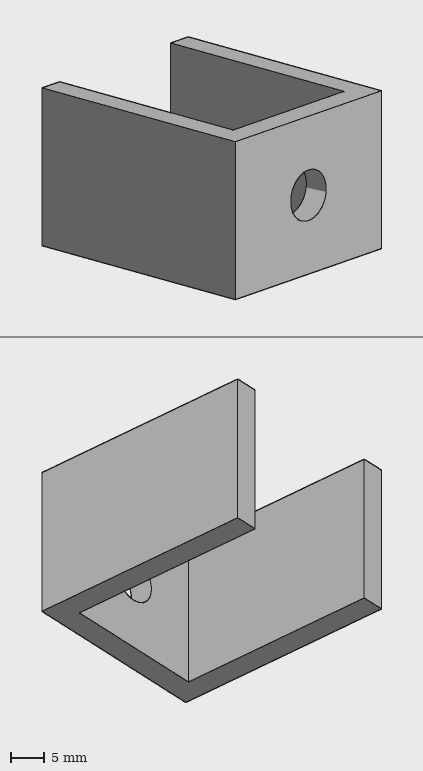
import cadquery as cq

length = 39.0
width = 33.0
height = 25.0
wall = 4.0
hole_diameter = 8.0

channel_length = length - wall
channel_width = width - 2 * wall


def u_bracket():
    """U-shaped bracket: two arms joined by a web on the +X side."""
    block = cq.Workplane("XY").box(length, width, height)
    channel = (
        cq.Workplane("XY")
        .box(channel_length, channel_width, height)
        .translate((-wall / 2, 0, 0))
    )
    return block.cut(channel)


def web_hole():
    """Cylinder along X, centred on the web and passing through it."""
    web_inner_x = length / 2 - wall
    return (
        cq.Workplane("YZ")
        .workplane(offset=web_inner_x)
        .circle(hole_diameter / 2)
        .extrude(wall)
    )


result = u_bracket().cut(web_hole())